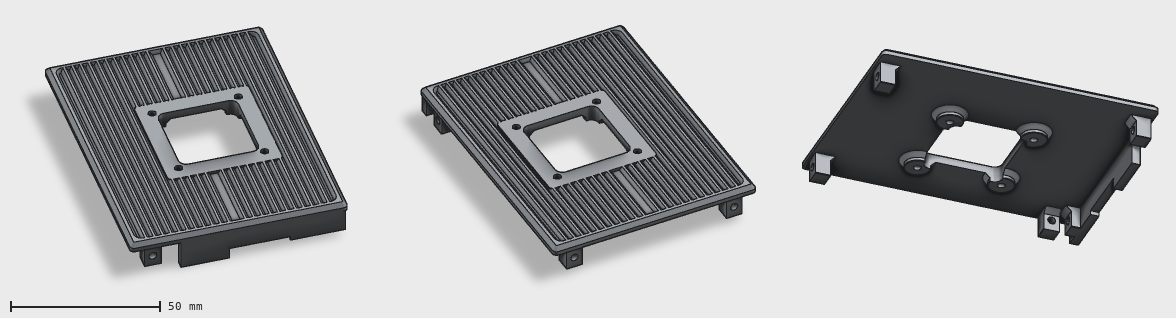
import cadquery as cq

PLATE_X = 99.0
PLATE_Y = 76.0
PLATE_T = 3.0
CORNER_R = 1.6
RIM_CHAMFER = 1.5

PANEL_X = 93.5
PANEL_Y = 70.7
PANEL_DEPTH = 1.1
PANEL_CORNER_R = 2.7
SLOPE = 45
RIBS_PER_HALF = 11
OUTER_RIB_Y = 31.9
RIB_PITCH = OUTER_RIB_Y / RIBS_PER_HALF
RIB_TOP = 0.9

FAN_Y = 4.3
PAD_SIDE = 40.2
PAD_CORNER_R = 1.5
WINDOW_SIDE = 27.9
WINDOW_CORNER_R = 2.8
SCREW_SPACING = 30.1
SCREW_D = 2.7
BOSS_R = 4.6
BOSS_HEIGHT = 3.0
BOSS_FLARE = 1.7

EDGE_BREAK = 0.2

LEG_INSET = 1.0
LEG_T = 5.3
LEG_W = 5.9
LEG_HEIGHT = 8.0
LEG_Y = 30.0
LEG_BRACE = 2.0
LEG_HOLE_D = 2.7
LEG_HOLE_Z = -4.1
BACK_LEG_X = 37.9
BACK_LEG_W = 5.6

SKIRT_T = 3.1
SKIRT_FRONT_Y = -20.5
SKIRT_STEP_FRONT_Y = -3.5
SKIRT_STEP_BACK_Y = 17.8
SKIRT_BACK_Y = PLATE_Y / 2 - LEG_INSET
SKIRT_DEEP = 10.6
SKIRT_SHALLOW = 6.5


def make_plate():
    plate = cq.Workplane("XY").box(PLATE_X, PLATE_Y, PLATE_T, centered=(True, True, False))
    return plate.edges("|Z").fillet(CORNER_R).faces(">Z").chamfer(RIM_CHAMFER)


def rounded_block(width, length, radius, bottom, top, y):
    block = cq.Workplane("XY", origin=(0, y, bottom)).rect(width, length).extrude(top - bottom)
    return block.edges("|Z").fillet(radius)


def make_rib(y):
    """Rib with 45 degree flanks, level with the plate top."""
    half_top = RIB_TOP / 2
    half_base = half_top + PANEL_DEPTH
    floor = PLATE_T - PANEL_DEPTH
    return (
        cq.Workplane("YZ", origin=(-PANEL_X / 2, 0, 0))
        .moveTo(y - half_base, floor)
        .lineTo(y + half_base, floor)
        .lineTo(y + half_top, PLATE_T)
        .lineTo(y - half_top, PLATE_T)
        .close()
        .extrude(PANEL_X)
    )


def make_grooves():
    """Volume removed from the top face: sunken panel less the ribs and the fan pad."""
    outline = cq.Sketch().rect(PANEL_X, PANEL_Y).vertices().fillet(PANEL_CORNER_R)
    grooves = cq.Workplane("XY", origin=(0, 0, PLATE_T)).placeSketch(outline)
    grooves = grooves.extrude(-PANEL_DEPTH, taper=SLOPE)
    for number in range(1, RIBS_PER_HALF + 1):
        for side in (-1, 1):
            grooves = grooves.cut(make_rib(side * number * RIB_PITCH))
    return grooves.cut(rounded_block(PAD_SIDE, PAD_SIDE, PAD_CORNER_R, 0, PLATE_T, FAN_Y))


def fan_corners():
    return cq.Workplane("XY", origin=(0, FAN_Y, 0)).rect(SCREW_SPACING, SCREW_SPACING, forConstruction=True)


def make_bosses():
    """Round bosses that flare out in a cone where they meet the plate."""
    necks = fan_corners().vertices().circle(BOSS_R).extrude(-BOSS_HEIGHT)
    necks = necks.faces("<Z").chamfer(EDGE_BREAK)
    flares = fan_corners().vertices().circle(BOSS_R + BOSS_FLARE).extrude(-BOSS_FLARE, taper=SLOPE)
    return necks.union(flares)


def make_fan_openings():
    window = rounded_block(WINDOW_SIDE, WINDOW_SIDE, WINDOW_CORNER_R, -BOSS_HEIGHT, PLATE_T, FAN_Y)
    screws = fan_corners().vertices().circle(SCREW_D / 2).extrude(PLATE_T + BOSS_HEIGHT)
    screws = screws.translate((0, 0, -BOSS_HEIGHT))
    return window.union(screws)


def make_leg(width):
    """Leg with its outer face at X = 0, braced and drilled along X, reaching toward -X."""
    leg = (
        cq.Workplane("XZ", origin=(0, width / 2, 0))
        .polyline([
            (0, 0),
            (0, -LEG_HEIGHT),
            (-LEG_T, -LEG_HEIGHT),
            (-LEG_T, -LEG_BRACE),
            (-LEG_T - LEG_BRACE, 0),
        ])
        .close()
        .extrude(width)
        .faces("<Z")
        .edges("|X")
        .chamfer(EDGE_BREAK)
    )
    hole_length = LEG_T + LEG_BRACE
    hole = cq.Workplane("YZ", origin=(0, 0, LEG_HOLE_Z)).circle(LEG_HOLE_D / 2).extrude(-hole_length)
    return leg.cut(hole)


def make_legs():
    outer_x = PLATE_X / 2 - LEG_INSET
    outer_y = PLATE_Y / 2 - LEG_INSET
    right_leg = make_leg(LEG_W).translate((outer_x, 0, 0))
    left_leg = right_leg.mirror("YZ")
    legs = make_leg(BACK_LEG_W).rotate((0, 0, 0), (0, 0, 1), 90).translate((BACK_LEG_X, outer_y, 0))
    for y in (-LEG_Y, LEG_Y):
        for leg in (left_leg, right_leg):
            legs = legs.union(leg.translate((0, y, 0)))
    return legs


def make_skirt():
    """Wall along the +X edge with a shallow notch between two deeper stretches."""
    return (
        cq.Workplane("YZ", origin=(PLATE_X / 2 - SKIRT_T, 0, 0))
        .polyline([
            (SKIRT_FRONT_Y, 0),
            (SKIRT_FRONT_Y, -SKIRT_DEEP),
            (SKIRT_STEP_FRONT_Y, -SKIRT_DEEP),
            (SKIRT_STEP_FRONT_Y, -SKIRT_SHALLOW),
            (SKIRT_STEP_BACK_Y, -SKIRT_SHALLOW),
            (SKIRT_STEP_BACK_Y, -LEG_HEIGHT),
            (SKIRT_BACK_Y, -LEG_HEIGHT),
            (SKIRT_BACK_Y, 0),
        ])
        .close()
        .extrude(SKIRT_T)
    )


result = (
    make_plate()
    .cut(make_grooves())
    .union(make_bosses())
    .cut(make_fan_openings())
    .union(make_legs())
    .union(make_skirt())
)